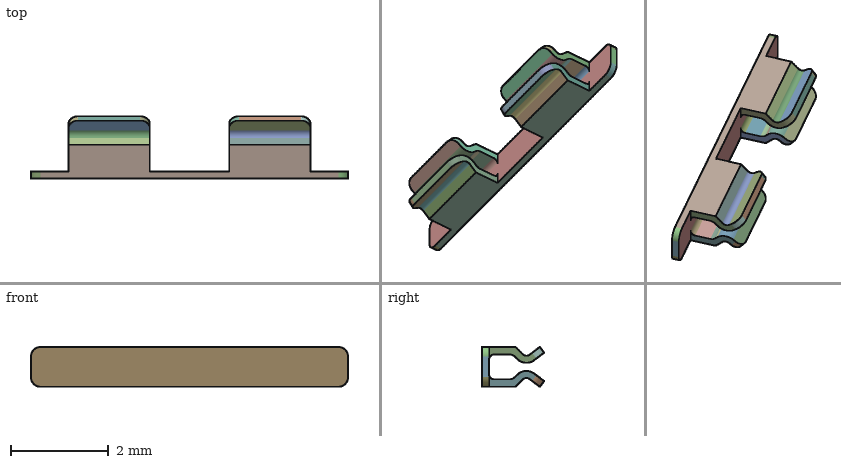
import cadquery as cq
import math

plate_length = 6.5
overall_depth = 1.28
plate_height = 0.82

sheet = 0.15
corner_radius = 0.2

clip_width = 1.67
clip_pitch = 3.29
root_radius = 0.1

flat_thickness = 0.16
crease_y = 0.69
ramp_angle = math.radians(45)
lip_angle = math.radians(37)
inner_crease_radius = 0.15
hollow_radius = 0.11

half_height = plate_height / 2
inner_z = half_height - flat_thickness
lip_top_y = overall_depth - sheet * math.sin(lip_angle)
lip_end_z = half_height - sheet * math.cos(lip_angle)

ramp_offset_y = crease_y + hollow_radius / math.sin(ramp_angle)
lip_offset_y = lip_top_y - hollow_radius / math.sin(lip_angle)
bend_drop = (lip_offset_y - ramp_offset_y) / (1 / math.tan(ramp_angle) + 1 / math.tan(lip_angle))
bend_y = ramp_offset_y + bend_drop / math.tan(ramp_angle)
bend_z = half_height - bend_drop


def on_bend(radius, angle):
    """Point (y, z) on the bend; the angle is zero at its lowest point and positive toward the lip."""
    return bend_y + radius * math.sin(angle), bend_z - radius * math.cos(angle)


def make_plate():
    """Face plate with its four corners rounded."""
    blank = cq.Workplane("XY").box(plate_length, sheet, plate_height)
    return blank.edges("|Y").fillet(corner_radius).translate((0, sheet / 2, 0))


def make_upper_arm():
    """Upper spring arm, centred on X: flat, ramp, bend and lip."""
    crown_radius = hollow_radius + sheet
    even_crease_y = crease_y - sheet * math.tan(ramp_angle / 2)
    inner_crease_y = even_crease_y + (flat_thickness - sheet) / math.tan(ramp_angle)
    arm = (
        cq.Workplane("YZ")
        .moveTo(0, half_height)
        .lineTo(crease_y, half_height)
        .lineTo(*on_bend(hollow_radius, -ramp_angle))
        .threePointArc(on_bend(hollow_radius, 0), on_bend(hollow_radius, lip_angle))
        .lineTo(lip_top_y, half_height)
        .lineTo(overall_depth, lip_end_z)
        .lineTo(*on_bend(crown_radius, lip_angle))
        .threePointArc(on_bend(crown_radius, 0), on_bend(crown_radius, -ramp_angle))
        .lineTo(inner_crease_y, inner_z)
        .lineTo(sheet + root_radius, inner_z)
        .radiusArc((sheet, inner_z - root_radius), -root_radius)
        .lineTo(0, inner_z - root_radius)
        .close()
        .extrude(clip_width / 2, both=True)
    )
    inner_crease = cq.selectors.NearestToPointSelector((0, inner_crease_y, inner_z))
    arm = arm.edges(inner_crease).fillet(inner_crease_radius)
    return round_lip_corners(arm)


def round_lip_corners(arm):
    """Round the two free corners of the lip through its thickness."""
    lip_end_mid = ((lip_top_y + overall_depth) / 2, (half_height + lip_end_z) / 2)
    for side in (-1, 1):
        corner = cq.selectors.NearestToPointSelector((side * clip_width / 2, *lip_end_mid))
        arm = arm.edges(corner).fillet(corner_radius)
    return arm


def make_part():
    """Face plate carrying two clips."""
    upper_arm = make_upper_arm()
    lower_arm = upper_arm.mirror("XY")
    part = make_plate()
    for clip_x in (-clip_pitch / 2, clip_pitch / 2):
        for arm in (upper_arm, lower_arm):
            part = part.union(arm.translate((clip_x, 0, 0)))
    return part.clean()


result = make_part()